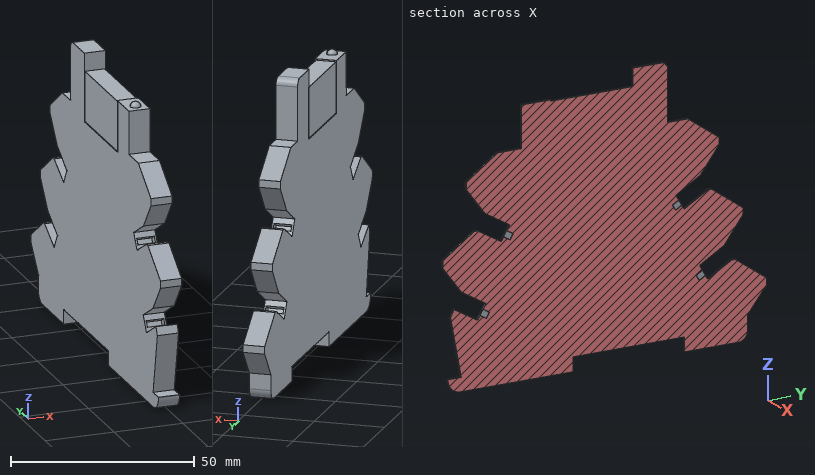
import cadquery as cq
import math

THICKNESS = 6.2
LENGTH = 101.8
HEIGHT = 84.3
BACK_Y = LENGTH / 2
FRONT_Y = -LENGTH / 2

TIER_STEP_Y = 7.4
TIER_STEP_Z = 21.4
LOW_TIP_Z = 17.2
TIP_FACE = 2.1
TIER_AXIS_Y = (BACK_Y - TIER_STEP_Y + FRONT_Y) / 2
TIER_RISE = 6.9
SLOPE_TOP = (9.9, TIER_RISE)
RIDGE_INNER = (11.0, TIER_RISE)
SLOT_OUTER = (18.4, 2.6)
SLOT_INNER = (21.0, TIER_RISE)
UNDERSIDE = (5.9, -10.0)

POCKET_WIDTH = 5.1
POCKET_START = 1.4
POCKET_HEIGHT = 1.8
POCKET_DEPTH = 2.3

FOOT_BACK_Y = BACK_Y - 5.9
FOOT_BACK_Z = 7.5
FOOT_BACK_RADIUS = 3.1
RAIL_BACK_Y = 25.0
RAIL_FRONT_Y = -9.9
RAIL_DEPTH = 4.3
TOE_Y = -49.3
TOE_RADIUS = 4.1
LEG_ROOT_Y = -45.1
LEG_TOP_Y = -48.4
LEG_TOP_Z = 21.9

TOWER_BACK_Y = 19.8
TOWER_RADIUS = 2.0
RELAY_BACK_Y = 8.9
RELAY_FRONT_Y = -17.0
RELAY_BOTTOM_Z = 64.4
RELAY_TOP_Z = 79.0
RELAY_SIDE_INSET = 0.2
POST_FRONT_Y = -26.2
POST_TOP_Z = 79.4

LAMP_Y = -22.9
LAMP_RADIUS = 1.5
LAMP_RISE = 1.3


def tier_point(level, corner):
    """Corner of a back-side tier, with level 0 at the bottom."""
    inset, rise = corner
    return (BACK_Y - level * TIER_STEP_Y - inset, LOW_TIP_Z + level * TIER_STEP_Z + rise)


def tip(level):
    return [tier_point(level, (0, -TIP_FACE)), tier_point(level, (0, 0)), tier_point(level, SLOPE_TOP)]


def slot_above(level):
    """Slanted slot from the ridge of one tier to the underside of the next."""
    slot = [tier_point(level, corner) for corner in (RIDGE_INNER, SLOT_OUTER, SLOT_INNER)]
    return slot + [tier_point(level + 1, UNDERSIDE)]


def mirrored(points):
    """Points on the front side, in reverse order to run downwards."""
    return [(2 * TIER_AXIS_Y - y, z) for y, z in reversed(points)]


def plate():
    upper_tiers = tip(1) + slot_above(1) + tip(2)
    back = tip(0) + slot_above(0) + upper_tiers
    front = mirrored(slot_above(0) + upper_tiers)
    head = [
        (TOWER_BACK_Y, back[-1][1]),
        (TOWER_BACK_Y, HEIGHT),
        (RELAY_BACK_Y, HEIGHT),
        (RELAY_BACK_Y, RELAY_TOP_Z),
        (RELAY_FRONT_Y, RELAY_TOP_Z),
        (RELAY_FRONT_Y, POST_TOP_Z),
        (POST_FRONT_Y, POST_TOP_Z),
        (POST_FRONT_Y, front[0][1]),
    ]
    leg = [(LEG_TOP_Y, LEG_TOP_Z), (LEG_ROOT_Y, RAIL_DEPTH), (TOE_Y, RAIL_DEPTH)]
    corner = math.sqrt(0.5)
    toe_centre_y = TOE_Y + TOE_RADIUS
    heel_centre_y = FOOT_BACK_Y - FOOT_BACK_RADIUS
    outline = (
        cq.Workplane("YZ", origin=(-THICKNESS / 2, 0, 0))
        .polyline([(FOOT_BACK_Y, FOOT_BACK_Z)] + back + head + front + leg)
        .lineTo(TOE_Y, TOE_RADIUS)
        .threePointArc(
            (toe_centre_y - TOE_RADIUS * corner, TOE_RADIUS * (1 - corner)),
            (toe_centre_y, 0),
        )
        .lineTo(RAIL_FRONT_Y, 0)
        .lineTo(RAIL_FRONT_Y, RAIL_DEPTH)
        .lineTo(RAIL_BACK_Y, RAIL_DEPTH)
        .lineTo(RAIL_BACK_Y, 0)
        .lineTo(heel_centre_y, 0)
        .threePointArc(
            (heel_centre_y + FOOT_BACK_RADIUS * corner, FOOT_BACK_RADIUS * (1 - corner)),
            (FOOT_BACK_Y, FOOT_BACK_RADIUS),
        )
        .close()
    )
    tower_corner = cq.selectors.NearestToPointSelector((0, TOWER_BACK_Y, HEIGHT))
    return outline.extrude(THICKNESS).edges("|X").edges(tower_corner).fillet(TOWER_RADIUS)


def slot_pocket(level):
    """Pocket block sunk square to the floor of the back-side slot above a tier."""
    outer = tier_point(level, SLOT_OUTER)
    inner = tier_point(level, SLOT_INNER)
    floor_length = math.dist(outer, inner)
    along = ((inner[0] - outer[0]) / floor_length, (inner[1] - outer[1]) / floor_length)
    inward = (-along[1], along[0])

    def corner(distance, depth):
        return tuple(o + a * distance + i * depth for o, a, i in zip(outer, along, inward))

    end = POCKET_START + POCKET_HEIGHT
    corners = [
        corner(POCKET_START, 0),
        corner(end, 0),
        corner(end, POCKET_DEPTH),
        corner(POCKET_START, POCKET_DEPTH),
    ]
    block = cq.Workplane("YZ", origin=(-POCKET_WIDTH / 2, 0, 0)).polyline(corners).close()
    return block.extrude(POCKET_WIDTH)


def relay_recess(side):
    """Shallow step that sets one relay face back from the plate face."""
    return cq.Workplane("XY").box(
        2 * RELAY_SIDE_INSET,
        RELAY_BACK_Y - RELAY_FRONT_Y,
        RELAY_TOP_Z - RELAY_BOTTOM_Z,
    ).translate((
        side * THICKNESS / 2,
        (RELAY_BACK_Y + RELAY_FRONT_Y) / 2,
        (RELAY_TOP_Z + RELAY_BOTTOM_Z) / 2,
    ))


def lamp():
    centre_z = POST_TOP_Z + LAMP_RISE - LAMP_RADIUS
    return cq.Workplane("XY").sphere(LAMP_RADIUS).translate((0, LAMP_Y, centre_z))


result = plate()
for side in (-1, 1):
    result = result.cut(relay_recess(side))
for level in (0, 1):
    pocket = slot_pocket(level)
    result = result.cut(pocket)
    result = result.cut(pocket.mirror("XZ", (0, TIER_AXIS_Y, 0)))
result = result.union(lamp())